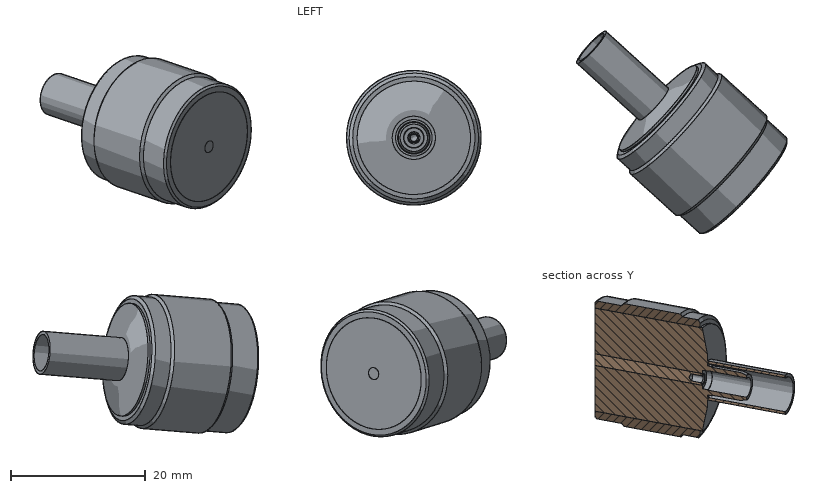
import cadquery as cq
import math

TOTAL_LENGTH = 31.15

FERRULE_LENGTH = 12.68
FERRULE_RADIUS = 3.2
FERRULE_BORE_RADIUS = 2.7

CONE_LENGTH = 0.87
CONE_SMALL_RADIUS = 4.08
CORE_RADIUS = 8.4
SLEEVE_LENGTH = FERRULE_LENGTH / 2
SLEEVE_START = FERRULE_LENGTH - SLEEVE_LENGTH
SLEEVE_TIP_RADIUS = 2.03
SLEEVE_RADIUS = 2.3
SLEEVE_TAPER_LENGTH = 1.0
COLLAR_RADIUS = 2.4
COLLAR_LENGTH = 0.62
COLLAR_START = FERRULE_LENGTH - COLLAR_LENGTH

SLEEVE_BORE_RADIUS = 1.53
SEAT_RADIUS = 1.45
SEAT_START = FERRULE_LENGTH
SEAT_FLOOR = FERRULE_LENGTH + CONE_LENGTH

NUT_START = 13.9
NUT_END = 31.13
NUT_END_RADIUS = 9.6
NUT_REAR_FACE_RADIUS = 9.07
NUT_REAR_CHAMFER_LENGTH = 0.35
NUT_FRONT_CHAMFER = 0.3
BAND_RADIUS = 10.0
BAND_START = 17.17
BAND_END = 26.35
BAND_CHAMFER = BAND_RADIUS - NUT_END_RADIUS

CONTACT_RADIUS = 0.9
POT_MOUTH_RADIUS = 0.72
POT_RADIUS = 0.53
POT_DEPTH = 1.87
POT_CHAMFER = POT_MOUTH_RADIUS - POT_RADIUS
DRILL_TIP_ANGLE = 118.0
DRILL_TIP_LENGTH = POT_RADIUS / math.tan(math.radians(DRILL_TIP_ANGLE / 2))


def turned(outline):
    """Revolve a closed outline of (x, radius) points about the X axis into one solid."""
    return cq.Workplane("XY").polyline(outline).close().revolve(360, (0, 0, 0), (1, 0, 0))


def make_ferrule():
    return turned([
        (0, FERRULE_BORE_RADIUS),
        (0, FERRULE_RADIUS),
        (FERRULE_LENGTH, FERRULE_RADIUS),
        (FERRULE_LENGTH, FERRULE_BORE_RADIUS),
    ])


def make_body():
    return turned([
        (SLEEVE_START, SLEEVE_BORE_RADIUS),
        (SLEEVE_START, SLEEVE_TIP_RADIUS),
        (SLEEVE_START + SLEEVE_TAPER_LENGTH, SLEEVE_RADIUS),
        (COLLAR_START, SLEEVE_RADIUS),
        (COLLAR_START, COLLAR_RADIUS),
        (FERRULE_LENGTH, COLLAR_RADIUS),
        (FERRULE_LENGTH, CONE_SMALL_RADIUS),
        (FERRULE_LENGTH + CONE_LENGTH, CORE_RADIUS),
        (TOTAL_LENGTH, CORE_RADIUS),
        (TOTAL_LENGTH, CONTACT_RADIUS),
        (SEAT_FLOOR, CONTACT_RADIUS),
        (SEAT_FLOOR, SEAT_RADIUS),
        (SEAT_START, SEAT_RADIUS),
        (SEAT_START, SLEEVE_BORE_RADIUS),
    ])


def make_nut():
    return turned([
        (NUT_START, CORE_RADIUS),
        (NUT_START, NUT_REAR_FACE_RADIUS),
        (NUT_START + NUT_REAR_CHAMFER_LENGTH, NUT_END_RADIUS),
        (BAND_START - BAND_CHAMFER, NUT_END_RADIUS),
        (BAND_START, BAND_RADIUS),
        (BAND_END, BAND_RADIUS),
        (BAND_END + BAND_CHAMFER, NUT_END_RADIUS),
        (NUT_END - NUT_FRONT_CHAMFER, NUT_END_RADIUS),
        (NUT_END, NUT_END_RADIUS - NUT_FRONT_CHAMFER),
        (NUT_END, CORE_RADIUS),
    ])


def make_contact():
    return turned([
        (TOTAL_LENGTH, 0),
        (TOTAL_LENGTH, CONTACT_RADIUS),
        (SEAT_FLOOR, CONTACT_RADIUS),
        (SEAT_FLOOR, POT_MOUTH_RADIUS),
        (SEAT_FLOOR + POT_CHAMFER, POT_RADIUS),
        (SEAT_FLOOR + POT_DEPTH, POT_RADIUS),
        (SEAT_FLOOR + POT_DEPTH + DRILL_TIP_LENGTH, 0),
    ])


ferrule = make_ferrule()
body = make_body()
nut = make_nut()
contact = make_contact()

result = cq.Compound.makeCompound([ferrule.val(), body.val(), nut.val(), contact.val()])